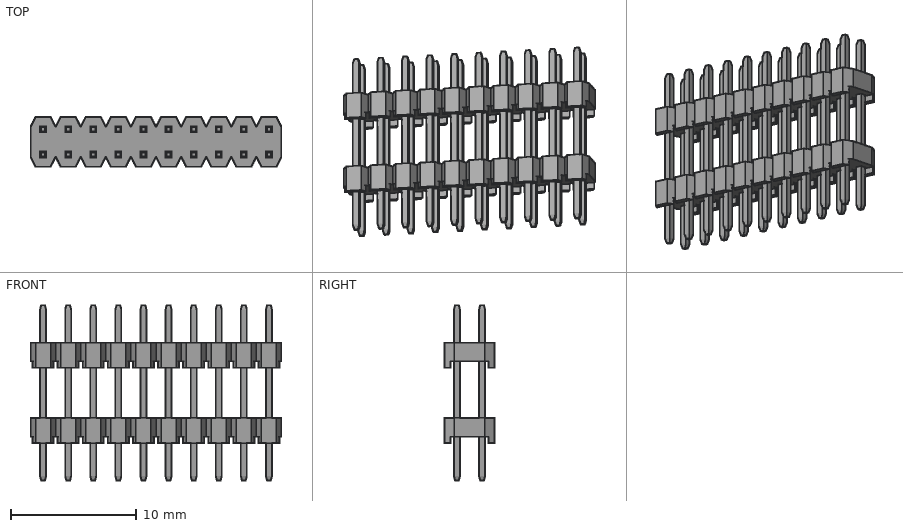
import cadquery as cq

pitch = 2.0
columns = 10
rows = 2

strip_length = columns * pitch
strip_width = rows * pitch
strip_height = 2.0
strip_spacing = 6.0
notch_depth = 0.8
notch_half_width = 0.4
foot_width = 0.5
foot_height = 0.5

pin_length = 14.0
pin_side = 0.5
tip_side = 0.3
tip_height = 0.35
pin_above_strip = 3.0

upper_strip_bottom = pin_length / 2 - pin_above_strip - strip_height
strip_bottoms = (upper_strip_bottom, upper_strip_bottom - strip_spacing)


def edge_points():
    """Notched +Y edge, from -X to +X: each column is a tooth between V notches."""
    crest_y = strip_width / 2
    valley_y = crest_y - notch_depth
    points = [(-strip_length / 2, valley_y)]
    for column in range(columns):
        left = column * pitch - strip_length / 2
        right = left + pitch
        points.append((left + notch_half_width, crest_y))
        points.append((right - notch_half_width, crest_y))
        points.append((right, valley_y))
    return points


def make_strip(bottom):
    """Notched strip with a channel along its underside, leaving a row of feet on each side."""
    far_edge = edge_points()
    near_edge = [(x, -y) for x, y in reversed(far_edge)]
    body = (
        cq.Workplane("XY")
        .workplane(offset=bottom)
        .polyline(far_edge + near_edge)
        .close()
        .extrude(strip_height)
    )
    channel = (
        cq.Workplane("XY")
        .workplane(offset=bottom)
        .rect(strip_length, strip_width - 2 * foot_width)
        .extrude(foot_height)
    )
    return body.cut(channel)


def make_pin():
    """Square pin along Z, tapered on all four sides at both ends."""
    shank_length = pin_length - 2 * tip_height
    shank = cq.Workplane("XY").box(pin_side, pin_side, shank_length)
    upper_tip = (
        cq.Workplane("XY")
        .workplane(offset=shank_length / 2)
        .rect(pin_side, pin_side)
        .workplane(offset=tip_height)
        .rect(tip_side, tip_side)
        .loft(ruled=True)
    )
    return shank.union(upper_tip).union(upper_tip.mirror("XY"))


result = make_strip(strip_bottoms[0])
for bottom in strip_bottoms[1:]:
    result = result.union(make_strip(bottom))

pin = make_pin()
for column in range(columns):
    for row in range(rows):
        pin_x = (column + 0.5) * pitch - strip_length / 2
        pin_y = (row + 0.5) * pitch - strip_width / 2
        result = result.union(pin.translate((pin_x, pin_y, 0)))